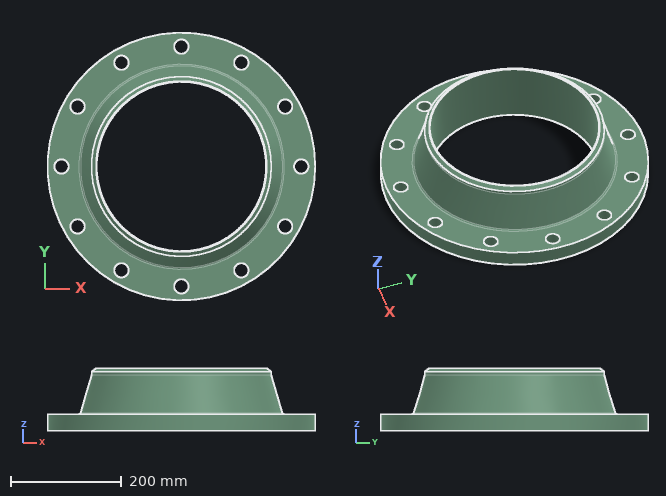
import cadquery as cq
import math

flange_diameter = 482.6
flange_thickness = 30.2

total_height = 112.78
bore_diameter = 304.8
neck_diameter = 323.9
hub_base_diameter = 365.1
neck_straight_height = 6.0
hub_fillet_radius = 3.0

land_width = 1.6
bevel_angle = 37.5

bolt_count = 12
bolt_hole_diameter = 25.4
bolt_circle_diameter = 431.8

bore_radius = bore_diameter / 2
neck_radius = neck_diameter / 2
land_radius = bore_radius + land_width
bevel_height = (neck_radius - land_radius) * math.tan(math.radians(bevel_angle))
bevel_start_z = total_height - bevel_height
taper_end_z = bevel_start_z - neck_straight_height


def make_flange():
    """Flat round plate resting on the XY plane."""
    return cq.Workplane("XY").circle(flange_diameter / 2).extrude(flange_thickness)


def make_hub():
    """Tapered hub, short straight neck and weld bevel, revolved about Z."""
    return (
        cq.Workplane("XZ")
        .moveTo(0, 0)
        .lineTo(hub_base_diameter / 2, 0)
        .lineTo(hub_base_diameter / 2, flange_thickness)
        .lineTo(neck_radius, taper_end_z)
        .lineTo(neck_radius, bevel_start_z)
        .lineTo(land_radius, total_height)
        .lineTo(0, total_height)
        .close()
        .revolve(360, (0, 0), (0, 1))
    )


def fillet_hub_base(body):
    """Round the inside corner where the hub meets the flange plate."""
    hub_radius = hub_base_diameter / 2
    margin = hub_fillet_radius
    corner_selector = cq.selectors.BoxSelector(
        (-hub_radius - margin, -hub_radius - margin, flange_thickness - margin),
        (hub_radius + margin, hub_radius + margin, flange_thickness + margin),
        boundingbox=True,
    )
    return body.edges(corner_selector).fillet(hub_fillet_radius)


def cut_bore(body):
    """Straight bore through the full height."""
    bore = cq.Workplane("XY").circle(bore_radius).extrude(total_height)
    return body.cut(bore)


def cut_bolt_holes(body):
    """Evenly spaced through holes, the first one on the +X axis."""
    holes = (
        cq.Workplane("XY")
        .polarArray(bolt_circle_diameter / 2, 0, 360, bolt_count)
        .circle(bolt_hole_diameter / 2)
        .extrude(flange_thickness)
    )
    return body.cut(holes)


body = make_flange().union(make_hub())
body = fillet_hub_base(body)
body = cut_bore(body)
result = cut_bolt_holes(body)